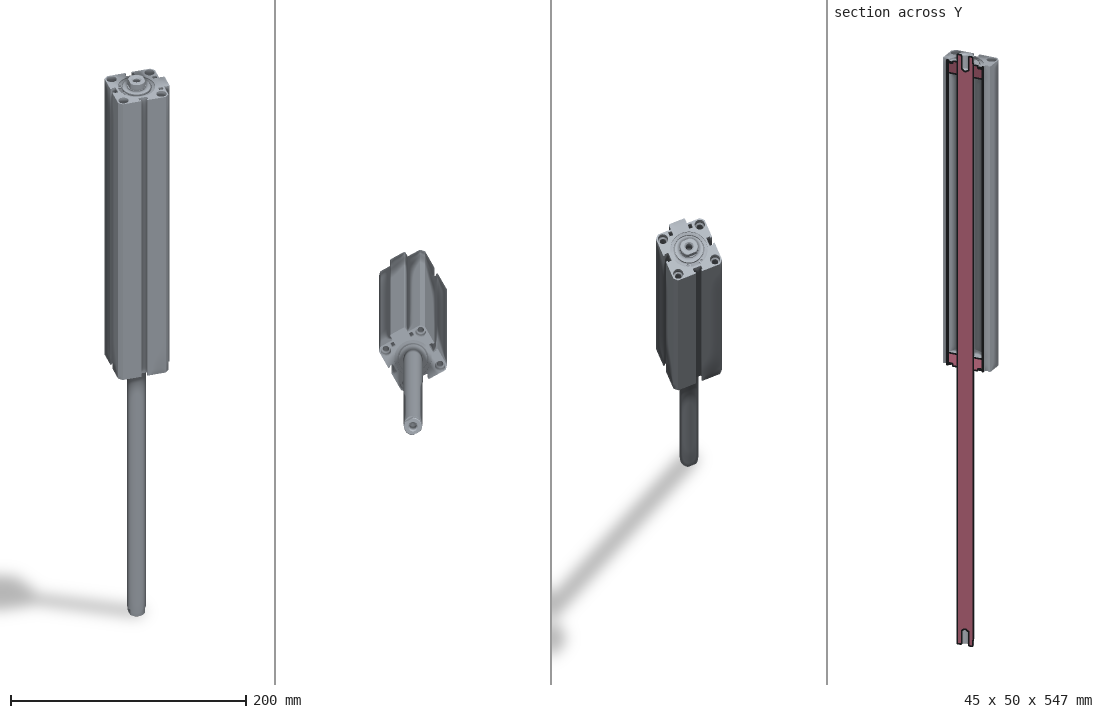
import cadquery as cq
import math

rod_length = 547.0
rod_diameter = 16.0
rod_chamfer = 0.5
rod_protrusion = 7.0
flat_spacing = 13.0
neck_diameter = 15.5
neck_length = 6.0
tap_diameter = 6.0
tap_depth = 13.0
tap_mouth_chamfer = 1.0
drill_point_angle = 118.0

tube_width = 45.0
tube_length = 283.5
tube_corner_diameter = 59.0
bore_diameter = 31.5

rail_width = 15.0
rail_height = 5.0
rail_edge_radius = 1.0
channel_width = 3.5
channel_floor = 17.0
channel_roof = 21.0

slot_opening = 5.5
slot_inner_width = 7.5
slot_lip = 1.5
slot_floor = 17.5

mount_spacing = 34.0
mount_hole_diameter = 5.5
mount_bore_diameter = 9.0
mount_bore_depth = 7.0

ring_recess = 1.0
ring_thickness = 1.0
ring_outer_radius = 16.5
ring_inner_radius = 13.0
ear_inner_radius = 12.5
ear_inner_angle = 16.0
ear_outer_angle = 36.0
ear_hole_diameter = 2.0

cover_length = 12.0
cover_boss_diameter = 24.0

rod_top = rod_length / 2
rod_radius = rod_diameter / 2
tube_half = tube_width / 2
tube_top = rod_top - rod_protrusion
tube_bottom = tube_top - tube_length
tube_middle = (tube_top + tube_bottom) / 2
bore_radius = bore_diameter / 2
rail_half = rail_width / 2
cover_recess = ring_recess + ring_thickness


def mirrored_end(body):
    """The same body at the opposite end of the tube."""
    return body.mirror("XY", (0, 0, tube_middle))


def tube_block():
    """Square extrusion with rounded corners and a raised rail on +Y."""
    block = (
        cq.Workplane("XY", origin=(0, 0, tube_bottom))
        .rect(tube_width, tube_width)
        .extrude(tube_length)
    )
    corner_round = (
        cq.Workplane("XY", origin=(0, 0, tube_bottom))
        .circle(tube_corner_diameter / 2)
        .extrude(tube_length)
    )
    rail_depth = tube_half + rail_height
    rail = (
        cq.Workplane("XY", origin=(0, rail_depth / 2, tube_bottom))
        .rect(rail_width, rail_depth)
        .extrude(tube_length)
        .edges("|Z and >Y")
        .fillet(rail_edge_radius)
    )
    return block.intersect(corner_round).union(rail)


def rail_channels():
    """Full-length channels through the tube beside the foot of the rail."""
    offset = rail_half + channel_width / 2
    return (
        cq.Workplane("XY", origin=(0, (channel_floor + channel_roof) / 2, tube_bottom))
        .pushPoints([(-offset, 0), (offset, 0)])
        .rect(channel_width, channel_roof - channel_floor)
        .extrude(tube_length)
    )


def t_slot(angle):
    """Full-length T-slot in the -Y face, turned about the axis by the angle."""
    lip_inside = tube_half - slot_lip
    opening = (
        cq.Workplane("XY", origin=(0, -(tube_half + slot_floor) / 2, tube_bottom))
        .rect(slot_opening, tube_half - slot_floor)
        .extrude(tube_length)
    )
    cavity = (
        cq.Workplane("XY", origin=(0, -(lip_inside + slot_floor) / 2, tube_bottom))
        .rect(slot_inner_width, lip_inside - slot_floor)
        .extrude(tube_length)
    )
    return opening.union(cavity).rotate((0, 0, 0), (0, 0, 1), angle)


def mounting_holes():
    """Four through holes, counterbored from both tube ends."""
    corners = cq.Workplane("XY", origin=(0, 0, tube_bottom)).rect(
        mount_spacing, mount_spacing, forConstruction=True
    )
    holes = corners.vertices().circle(mount_hole_diameter / 2).extrude(tube_length)
    lower = corners.vertices().circle(mount_bore_diameter / 2).extrude(mount_bore_depth)
    return holes.union(lower).union(mirrored_end(lower))


def bore():
    """Through bore with a retaining-ring groove near each end."""
    hole = cq.Workplane("XY", origin=(0, 0, tube_bottom)).circle(bore_radius).extrude(tube_length)
    groove = (
        cq.Workplane("XY", origin=(0, 0, tube_top - cover_recess))
        .circle(ring_outer_radius)
        .extrude(ring_thickness)
    )
    return hole.union(groove).union(mirrored_end(groove))


def make_tube():
    tube = tube_block().cut(rail_channels())
    for angle in (-90, 0, 90):
        tube = tube.cut(t_slot(angle))
    return tube.cut(mounting_holes()).cut(bore())


def neck_relief():
    """Thin sleeve removed around the rod's top end."""
    return (
        cq.Workplane("XY", origin=(0, 0, rod_top - neck_length))
        .circle(rod_diameter)
        .circle(neck_diameter / 2)
        .extrude(neck_length)
    )


def wrench_flat():
    """Material removed on the +Y side of the rod's top end."""
    return (
        cq.Workplane("XY", origin=(0, flat_spacing / 2 + rod_radius / 2, rod_top - neck_length))
        .rect(rod_diameter, rod_radius)
        .extrude(neck_length)
    )


def tapped_hole():
    """Blind hole with a chamfered mouth and a drill point, in the rod's top end."""
    radius = tap_diameter / 2
    point_height = radius / math.tan(math.radians(drill_point_angle / 2))
    floor = rod_top - tap_depth
    return (
        cq.Workplane("XZ")
        .moveTo(0, rod_top)
        .lineTo(radius + tap_mouth_chamfer, rod_top)
        .lineTo(radius, rod_top - tap_mouth_chamfer)
        .lineTo(radius, floor)
        .lineTo(0, floor - point_height)
        .close()
        .revolve(360, (0, 0, 0), (0, 1, 0))
    )


def make_rod():
    rod = (
        cq.Workplane("XY", origin=(0, 0, -rod_top))
        .circle(rod_radius)
        .extrude(rod_length)
    )
    neck = neck_relief()
    rod = rod.cut(neck).cut(neck.mirror("XY")).faces("<Z or >Z").chamfer(rod_chamfer)
    flat = wrench_flat()
    top_cuts = [flat, flat.mirror("XZ"), tapped_hole()]
    for cut in top_cuts:
        rod = rod.cut(cut).cut(cut.mirror("XY"))
    return rod


def make_cover():
    """Guide for the rod at the top: a disc below the retaining ring and a boss inside it."""
    cover = (
        cq.Workplane("XY", origin=(0, 0, tube_top - cover_length))
        .circle(cover_boss_diameter / 2)
        .extrude(cover_length)
    )
    disc = (
        cq.Workplane("XY", origin=(0, 0, tube_top - cover_length))
        .circle(bore_radius)
        .extrude(cover_length - cover_recess)
    )
    rod_hole = (
        cq.Workplane("XY", origin=(0, 0, tube_top - cover_length))
        .circle(rod_radius)
        .extrude(cover_length)
    )
    return cover.union(disc).cut(rod_hole)


def polar(radius, angle):
    """Point at an angle from -Y, positive toward +X."""
    turn = math.radians(angle)
    return (radius * math.sin(turn), -radius * math.cos(turn))


def make_ring():
    """Open ring with two drilled ears at its ends on -Y, at the top of the tube."""
    a, b = ear_inner_angle, ear_outer_angle
    middle = (a + b) / 2
    ear_hole_radius = (ear_inner_radius + bore_radius) / 2
    ear_holes = [polar(ear_hole_radius, middle), polar(ear_hole_radius, -middle)]
    return (
        cq.Workplane("XY", origin=(0, 0, tube_top - cover_recess))
        .moveTo(*polar(ring_outer_radius, a))
        .threePointArc(polar(ring_outer_radius, 180), polar(ring_outer_radius, -a))
        .lineTo(*polar(ear_inner_radius, -a))
        .threePointArc(polar(ear_inner_radius, -middle), polar(ear_inner_radius, -b))
        .lineTo(*polar(ring_inner_radius, -b))
        .threePointArc(polar(ring_inner_radius, 180), polar(ring_inner_radius, b))
        .lineTo(*polar(ear_inner_radius, b))
        .threePointArc(polar(ear_inner_radius, middle), polar(ear_inner_radius, a))
        .close()
        .pushPoints(ear_holes)
        .circle(ear_hole_diameter / 2)
        .extrude(ring_thickness)
    )


tube = make_tube()
rod = make_rod()
bodies = [tube.val(), rod.val()]
for end_body in (make_cover(), make_ring()):
    bodies += [end_body.val(), mirrored_end(end_body).val()]

result = cq.Compound.makeCompound(bodies)